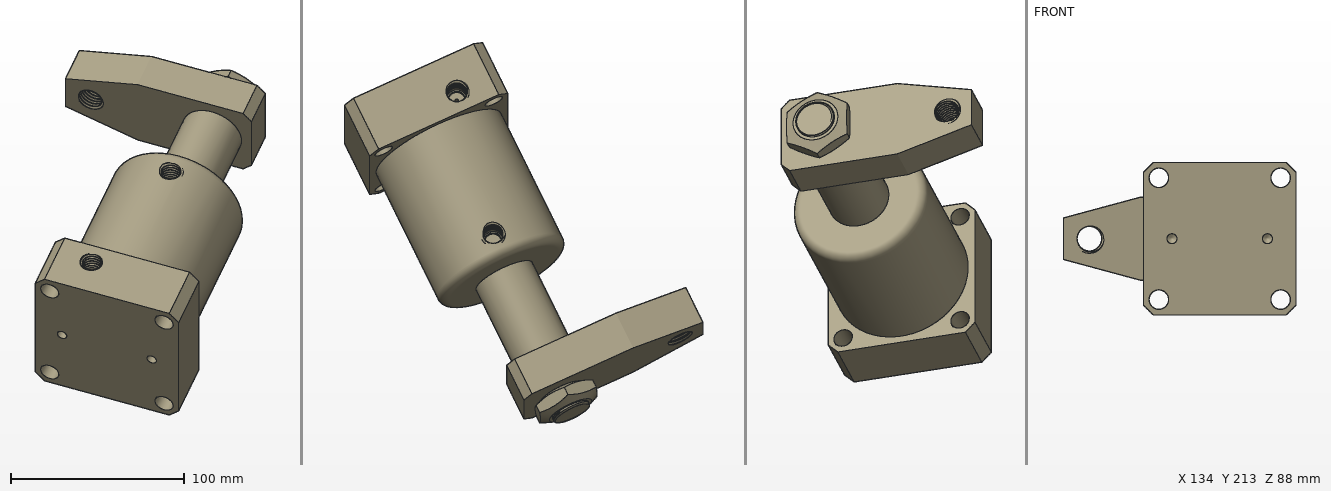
import cadquery as cq
import math

total_length = 213.0

base_side = 88.0
base_length = 33.9
base_corner_chamfer = 5.8
mount_hole_diameter = 11.0
mount_hole_spacing = 70.0
dowel_hole_diameter = 5.8
dowel_hole_spacing = 55.0
dowel_hole_depth = 10.6
drill_point_angle = 118.0

body_diameter = 79.9
body_length = 88.0
body_end_fillet = 5.1

rod_diameter = 36.0
rod_length = 54.0
stud_diameter = 22.8

arm_thickness = 23.2
arm_width = 48.0
arm_tip_width = arm_width / 2
arm_back_reach = 24.0
overall_width = 134.0
arm_tip_reach = overall_width - base_side / 2
arm_taper_start = 45.5
arm_back_chamfer = 5.1
arm_screw_reach = 75.0
arm_screw_diameter = 14.0

nut_across_flats = rod_diameter
nut_height = 12.0
nut_end_radius = 13.5
nut_chamfer_angle = 26.0

port_diameter = 11.5
port_thread_depth = 10.6
port_drill_diameter = 9.8
port_depth = 17.0
base_port_x = -17.0
base_port_y = 22.2
body_port_y = 107.0
oil_hole_diameter = 2.0
oil_hole_depth = 6.4

thread_pitch = 2.0
thread_groove_width = 0.8 * thread_pitch
thread_groove_depth = thread_groove_width * math.cos(math.radians(30))
thread_mouth_overlap = 0.1
thread_start_angle = -50.0

body_start = base_length
rod_start = body_start + body_length
arm_start = rod_start + rod_length
nut_start = arm_start + arm_thickness
nut_end = nut_start + nut_height


def y_cylinder(diameter, length, x=0, y=0, z=0):
    """Cylinder along +Y that starts at the given point."""
    start = cq.Vector(x, y, z)
    return cq.Workplane(cq.Solid.makeCylinder(diameter / 2, length, start, cq.Vector(0, 1, 0)))


def z_drill(diameter, depth):
    """Cylinder that goes down along -Z from the origin."""
    return cq.Workplane("XY").circle(diameter / 2).extrude(-depth)


def thread_groove(radius, length, outward):
    """Helical V groove around +Z from Z = 0, cut outward or inward from the radius."""
    side = 1 if outward else -1
    mouth = radius - side * thread_mouth_overlap
    root = radius + side * thread_groove_depth
    half_width = thread_groove_width / 2
    profile = cq.Workplane("XZ").polyline([(mouth, -half_width), (root, 0), (mouth, half_width)]).close()
    helix = cq.Workplane(cq.Wire.makeHelix(thread_pitch, length, radius))
    groove = profile.sweep(helix, isFrenet=True)
    return groove.rotate((0, 0, 0), (0, 0, 1), thread_start_angle)


def tapped_hole(diameter, depth):
    """Cutter for a threaded hole down from Z = 0; its bore passes both ends of the groove."""
    bore_bottom = -depth - 2 * thread_pitch
    bore_top = 3 * thread_pitch
    bore = cq.Workplane("XY", origin=(0, 0, bore_bottom)).circle(diameter / 2).extrude(bore_top - bore_bottom)
    groove = thread_groove(diameter / 2, depth + 2 * thread_pitch, outward=True)
    return bore.union(groove.translate((0, 0, -depth - thread_pitch / 2)))


def threaded_port():
    """Cutter for a blind port down from Z = 0: a tapped mouth above a smaller drilled hole."""
    return tapped_hole(port_diameter, port_thread_depth).union(z_drill(port_drill_diameter, port_depth))


def dowel_hole():
    """Cutter for a blind hole along +Y from Y = 0 with a conical drill point."""
    radius = dowel_hole_diameter / 2
    tip = dowel_hole_depth + radius / math.tan(math.radians(drill_point_angle / 2))
    profile = cq.Workplane("XY").polyline([(0, 0), (radius, 0), (radius, dowel_hole_depth), (0, tip)]).close()
    return profile.revolve(360, (0, 0, 0), (0, 1, 0))


def make_base():
    base = cq.Workplane("XZ").rect(base_side, base_side).extrude(-base_length)
    base = base.edges("|Y").chamfer(base_corner_chamfer)
    for side_x in (-1, 1):
        for side_z in (-1, 1):
            hole_x = side_x * mount_hole_spacing / 2
            hole_z = side_z * mount_hole_spacing / 2
            base = base.cut(y_cylinder(mount_hole_diameter, base_length, x=hole_x, z=hole_z))
        base = base.cut(dowel_hole().translate((side_x * dowel_hole_spacing / 2, 0, 0)))
    port_mouth = (base_port_x, base_port_y, base_side / 2)
    oil_hole = z_drill(oil_hole_diameter, port_depth + oil_hole_depth)
    base = base.cut(threaded_port().translate(port_mouth))
    return base.cut(oil_hole.translate(port_mouth))


def make_body():
    body = y_cylinder(body_diameter, body_length, y=body_start)
    body = body.faces(">Y").edges().fillet(body_end_fillet)
    return body.cut(threaded_port().translate((0, body_port_y, body_diameter / 2)))


def make_rod():
    """Rod with a stud that passes through the arm and nut; the thread is cut on its exposed end."""
    rod = y_cylinder(rod_diameter, rod_length, y=rod_start)
    stud = y_cylinder(stud_diameter, total_length - arm_start, y=arm_start)
    groove_length = total_length - nut_end + 2 * thread_pitch
    groove = thread_groove(stud_diameter / 2, groove_length, outward=False)
    groove = groove.rotate((0, 0, 0), (1, 0, 0), -90).translate((0, nut_end, 0))
    return rod.union(stud).cut(groove)


def make_arm():
    half_width = arm_width / 2
    half_tip = arm_tip_width / 2
    outline = [
        (-arm_tip_reach, -half_tip),
        (-arm_taper_start, -half_width),
        (arm_back_reach, -half_width),
        (arm_back_reach, half_width),
        (-arm_taper_start, half_width),
        (-arm_tip_reach, half_tip),
    ]
    arm = cq.Workplane("XZ").polyline(outline).close().extrude(-arm_thickness)
    arm = arm.faces(">X").edges("|Y").chamfer(arm_back_chamfer)
    arm = arm.cut(y_cylinder(stud_diameter, arm_thickness))
    screw_hole = tapped_hole(arm_screw_diameter, arm_thickness).rotate((0, 0, 0), (1, 0, 0), 90)
    arm = arm.cut(screw_hole.translate((-arm_screw_reach, 0, 0)))
    return arm.translate((0, arm_start, 0))


def make_nut():
    """Hexagon nut with two flats facing X; its corners are trimmed by a cone at each end."""
    corner_radius = nut_across_flats / math.sqrt(3)
    chamfer_height = (corner_radius - nut_end_radius) * math.tan(math.radians(nut_chamfer_angle))
    hexagon = cq.Workplane("XZ").polygon(6, 2 * corner_radius).extrude(-nut_height)
    hexagon = hexagon.rotate((0, 0, 0), (0, 1, 0), 90)
    half_section = [
        (0, 0),
        (nut_end_radius, 0),
        (corner_radius, chamfer_height),
        (corner_radius, nut_height - chamfer_height),
        (nut_end_radius, nut_height),
        (0, nut_height),
    ]
    chamfer_cones = cq.Workplane("XY").polyline(half_section).close().revolve(360, (0, 0, 0), (0, 1, 0))
    nut = hexagon.intersect(chamfer_cones).cut(y_cylinder(stud_diameter, nut_height))
    return nut.translate((0, nut_start, 0))


base = make_base().solids()
body = make_body().solids()
rod = make_rod().solids()
arm = make_arm().solids()
nut = make_nut().solids()

result = cq.Compound.makeCompound([base.val(), body.val(), rod.val(), arm.val(), nut.val()])